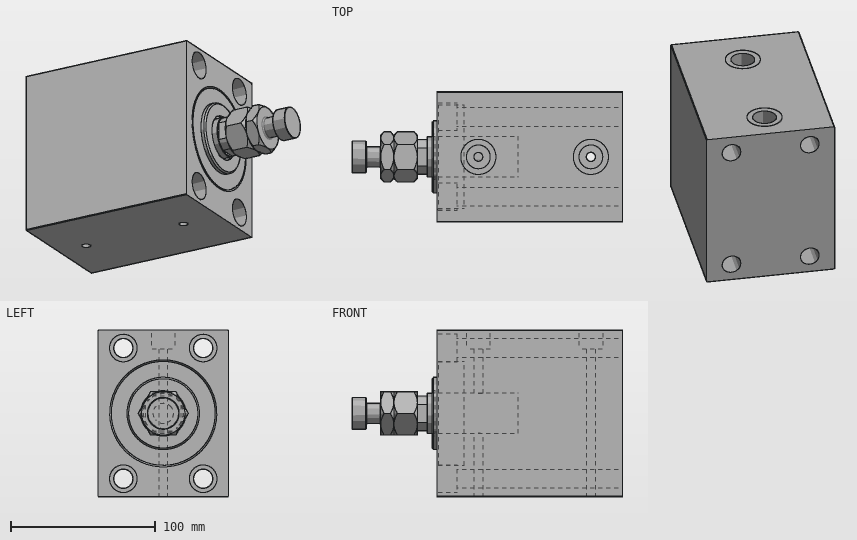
import cadquery as cq
import math


HOUSING_LENGTH = 128.0
HOUSING_WIDTH = 90.0
HOUSING_HEIGHT = 115.0
LONG_EDGE_CHAMFER = 0.5

BOLT_SPACING_Y = 55.0
BOLT_SPACING_Z = 90.0
BOLT_HOLE_DIA = 13.0
COUNTERBORE_DIA = 19.0
COUNTERBORE_DEPTH = 14.0

PORT_POSITIONS_X = (28.5, 106.1)
PORT_DIA = 16.5
PORT_DEPTH = 13.0
SPOTFACE_DIA = 24.2
SPOTFACE_DEPTH = 0.2
OIL_HOLE_DIA = 6.2

GLAND_DIA = 71.6
GLAND_DEPTH = 18.6
GLAND_SEAT_CHAMFER = 1.1
BOSS_DIA = 50.0
BOSS_HEIGHT = 3.4
BOSS_CHAMFER = 1.1
ROD_RECESS_DIA = 31.3
ROD_RECESS_DEPTH = 1.9

ROD_DIA = 28.0
ROD_SHOULDER_CHAMFER = 0.4
ROD_FLAT_DIA = 27.2
ROD_FLAT_WIDTH = 24.2
ROD_FLAT_START = 6.7
ROD_REACH = 13.5
ROD_INNER_END = 56.0

LONG_HEX_LENGTH = 16.2
SHORT_HEX_LENGTH = 9.1
HEX_ACROSS_FLATS = 30.0
HEX_FACE_DIA = 29.8
NECK_LENGTH = 9.9
NECK_DIA = 14.0
NECK_FILLET = 1.0
HEAD_LENGTH = 9.9
HEAD_DIA = 22.0
HEAD_BACK_CHAMFER = 0.5
HEAD_FRONT_CHAMFER = 0.28


def cylinder_x(diameter, start, end):
    """Cylinder on the rod axis between two X positions."""
    return cq.Workplane("YZ", origin=(start, 0, 0)).circle(diameter / 2).extrude(end - start)


def make_housing():
    housing = cq.Workplane("XY").box(
        HOUSING_LENGTH, HOUSING_WIDTH, HOUSING_HEIGHT, centered=(False, True, True)
    )
    housing = housing.edges("|X").chamfer(LONG_EDGE_CHAMFER)

    housing = (
        housing.faces("<X").workplane(origin=(0, 0, 0))
        .rarray(BOLT_SPACING_Y, BOLT_SPACING_Z, 2, 2)
        .cboreHole(BOLT_HOLE_DIA, COUNTERBORE_DIA, COUNTERBORE_DEPTH)
    )

    for x in PORT_POSITIONS_X:
        top = cq.Workplane("XY", origin=(x, 0, HOUSING_HEIGHT / 2))
        housing = housing.cut(top.circle(SPOTFACE_DIA / 2).extrude(-SPOTFACE_DEPTH))
        housing = housing.cut(top.circle(PORT_DIA / 2).extrude(-PORT_DEPTH))
        housing = housing.cut(top.circle(OIL_HOLE_DIA / 2).extrude(-HOUSING_HEIGHT))

    gland_seat = cylinder_x(GLAND_DIA, 0, GLAND_DEPTH)
    seat_chamfer = cq.Solid.makeCone(
        GLAND_DIA / 2 + GLAND_SEAT_CHAMFER,
        GLAND_DIA / 2,
        GLAND_SEAT_CHAMFER,
        cq.Vector(0, 0, 0),
        cq.Vector(1, 0, 0),
    )
    rod_seat = cylinder_x(ROD_DIA, 0, ROD_INNER_END)
    return housing.cut(gland_seat).cut(seat_chamfer).cut(rod_seat)


def make_gland():
    plug = cylinder_x(GLAND_DIA, 0, GLAND_DEPTH)
    boss = cylinder_x(BOSS_DIA, -BOSS_HEIGHT, 0).faces("<X").chamfer(BOSS_CHAMFER)
    rod_bore = cylinder_x(ROD_DIA, -BOSS_HEIGHT, GLAND_DEPTH)
    rod_recess = cylinder_x(ROD_RECESS_DIA, -BOSS_HEIGHT, ROD_RECESS_DEPTH - BOSS_HEIGHT)
    return plug.union(boss).cut(rod_bore).cut(rod_recess)


def make_rod():
    round_part = cylinder_x(ROD_DIA, -ROD_FLAT_START, ROD_INNER_END)
    round_part = round_part.faces("<X").chamfer(ROD_SHOULDER_CHAMFER)
    square = (
        cq.Workplane("YZ", origin=(-ROD_REACH, 0, 0))
        .rect(ROD_FLAT_WIDTH, ROD_FLAT_WIDTH)
        .extrude(ROD_REACH - ROD_FLAT_START)
    )
    flatted_end = square.intersect(cylinder_x(ROD_FLAT_DIA, -ROD_REACH, -ROD_FLAT_START))
    return round_part.union(flatted_end)


def make_hexagon(start, length):
    """Hexagon with corners on Y, its corners chamfered at 45 degrees at both ends."""
    corner_dia = HEX_ACROSS_FLATS / math.cos(math.pi / 6)
    hexagon = cq.Workplane("YZ", origin=(start, 0, 0)).polygon(6, corner_dia).extrude(length)
    envelope = cylinder_x(corner_dia, start, start + length)
    envelope = envelope.faces("<X or >X").chamfer((corner_dia - HEX_FACE_DIA) / 2)
    return hexagon.intersect(envelope)


def make_coupling():
    long_hex_start = -ROD_REACH - LONG_HEX_LENGTH
    short_hex_start = long_hex_start - SHORT_HEX_LENGTH
    head_back = short_hex_start - NECK_LENGTH

    hexes = make_hexagon(long_hex_start, LONG_HEX_LENGTH)
    hexes = hexes.union(make_hexagon(short_hex_start, SHORT_HEX_LENGTH))

    head_radius = HEAD_DIA / 2
    neck_radius = NECK_DIA / 2
    fillet_bulge = NECK_FILLET * (1 - math.sqrt(0.5))
    stud = (
        cq.Workplane("XY")
        .moveTo(head_back - HEAD_LENGTH, 0)
        .lineTo(head_back - HEAD_LENGTH, head_radius - HEAD_FRONT_CHAMFER)
        .lineTo(head_back - HEAD_LENGTH + HEAD_FRONT_CHAMFER, head_radius)
        .lineTo(head_back - HEAD_BACK_CHAMFER, head_radius)
        .lineTo(head_back, head_radius - HEAD_BACK_CHAMFER)
        .lineTo(head_back, neck_radius + NECK_FILLET)
        .threePointArc(
            (head_back + fillet_bulge, neck_radius + fillet_bulge),
            (head_back + NECK_FILLET, neck_radius),
        )
        .lineTo(short_hex_start - NECK_FILLET, neck_radius)
        .threePointArc(
            (short_hex_start - fillet_bulge, neck_radius + fillet_bulge),
            (short_hex_start, neck_radius + NECK_FILLET),
        )
        .lineTo(short_hex_start, 0)
        .close()
        .revolve(360, (0, 0, 0), (1, 0, 0))
    )
    return hexes.union(stud)


housing = make_housing()
gland = make_gland()
rod = make_rod()
coupling = make_coupling()

result = cq.Compound.makeCompound([housing.val(), gland.val(), rod.val(), coupling.val()])